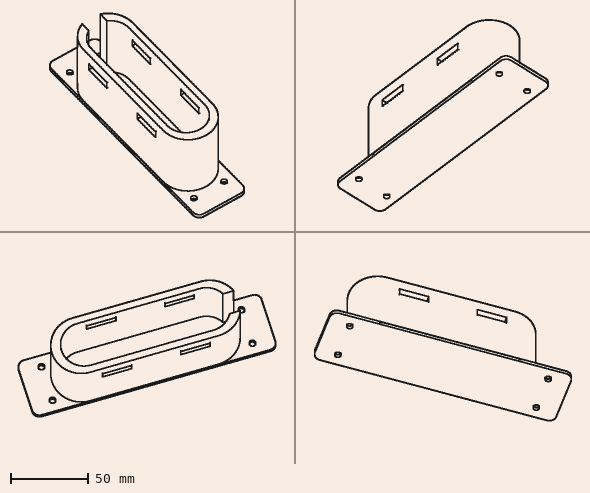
import cadquery as cq

PLATE_LENGTH = 165
PLATE_WIDTH = 40.0
PLATE_THICKNESS = 3.0
PLATE_CORNER_RADIUS = 5.0

HOLE_DIAMETER = 4.1
HOLE_SPACING_X = 135.6
HOLE_SPACING_Y = 24.5

WALL_HEIGHT = 50.0
WALL_CENTRE_X = 1.0
WALL_LENGTH = 126.9
WALL_WIDTH = 39.6
CAVITY_CENTRE_X = 1.2
CAVITY_LENGTH = 113.5
CAVITY_WIDTH = 30.4

GAP_WIDTH = 14.5

WINDOW_LENGTH = 20.0
WINDOW_HEIGHT = 5.5
WINDOW_TOP_MARGIN = 8.9
WINDOW_SPACING = 53.1
WINDOW_CENTRE_X = -0.3


def make_plate():
    """Rounded rectangular plate with four through holes."""
    return (
        cq.Workplane("XY")
        .rect(PLATE_LENGTH, PLATE_WIDTH)
        .extrude(PLATE_THICKNESS)
        .edges("|Z")
        .fillet(PLATE_CORNER_RADIUS)
        .faces(">Z")
        .workplane()
        .rect(HOLE_SPACING_X, HOLE_SPACING_Y, forConstruction=True)
        .vertices()
        .hole(HOLE_DIAMETER)
    )


def stadium(centre_x, length, width):
    """Round-ended block standing on the plate, as tall as the wall."""
    return (
        cq.Workplane("XY", origin=(centre_x, 0, PLATE_THICKNESS))
        .slot2D(length, width)
        .extrude(WALL_HEIGHT)
    )


def make_gap():
    """Block that opens the -X end of the wall, reaching into the cavity."""
    return (
        cq.Workplane("XY", origin=(-PLATE_LENGTH / 2, 0, PLATE_THICKNESS))
        .box(PLATE_LENGTH / 2, GAP_WIDTH, WALL_HEIGHT, centered=(False, True, False))
    )


def make_windows():
    """Two bars along Y that pierce both long sides near the rim."""
    window_z = PLATE_THICKNESS + WALL_HEIGHT - WINDOW_TOP_MARGIN - WINDOW_HEIGHT / 2
    return (
        cq.Workplane("XZ", origin=(WINDOW_CENTRE_X, 0, window_z))
        .rarray(WINDOW_SPACING, 1.6, 2, 1)
        .rect(WINDOW_LENGTH, WINDOW_HEIGHT)
        .extrude(WALL_WIDTH, both=True)
    )


wall = stadium(WALL_CENTRE_X, WALL_LENGTH, WALL_WIDTH)
wall = wall.cut(stadium(CAVITY_CENTRE_X, CAVITY_LENGTH, CAVITY_WIDTH))
wall = wall.cut(make_gap()).cut(make_windows())

result = make_plate().union(wall)